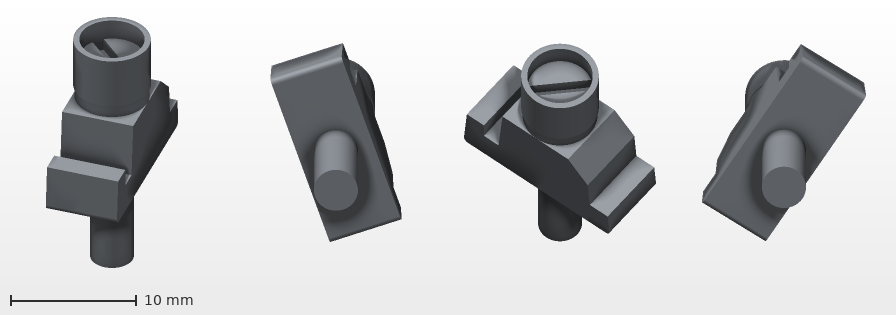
import cadquery as cq

total_height = 21.0
body_bottom = 8.57
body_top = 15.55
collar_bottom = 16.61

body_width = 6.0
base_length = 14.8
bottom_fillet = 0.42
shelf_height = 11.05
lip_height = 12.54
slope_height = 13.65

shelf_end_y = 7.18
shelf_wall_y = 5.38
slope_start_y = 5.17
slope_end_y = 3.17
top_end_y = -3.46
groove_wall_y = -3.86
lip_inner_y = -5.35
lip_outer_y = -7.08

pin_diameter = 3.5
neck_diameter = body_width
collar_diameter = 6.2
recess_diameter = 5.2
recess_depth = 1.75
slot_width = 0.99
slot_depth = 1.05
slot_angle = -45


def make_body():
    """Extrude the stepped Y-Z profile across the body width and round its lower edges."""
    half_length = base_length / 2
    profile = [
        (half_length, body_bottom),
        (shelf_end_y, shelf_height),
        (shelf_wall_y, shelf_height),
        (slope_start_y, slope_height),
        (slope_end_y, body_top),
        (top_end_y, body_top),
        (groove_wall_y, shelf_height),
        (lip_inner_y, shelf_height),
        (lip_inner_y, lip_height),
        (lip_outer_y, lip_height),
        (-half_length, body_bottom),
    ]
    body = cq.Workplane("YZ").polyline(profile).close().extrude(body_width / 2, both=True)
    return body.faces("<Z").edges("|X").fillet(bottom_fillet)


def cylinder(diameter, bottom, top):
    """Upright cylinder on the Z axis between two heights."""
    return cq.Workplane("XY").workplane(offset=bottom).circle(diameter / 2).extrude(top - bottom)


def make_slot():
    """Screwdriver slot across the whole recess floor, clipped to the recess wall."""
    floor = total_height - recess_depth
    bar = (
        cq.Workplane("XY")
        .box(recess_diameter, slot_width, slot_depth, centered=(True, True, False))
        .rotate((0, 0, 0), (0, 0, 1), slot_angle)
        .translate((0, 0, floor - slot_depth))
    )
    return bar.intersect(cylinder(recess_diameter, floor - slot_depth, floor))


pin = cylinder(pin_diameter, 0, body_bottom)
neck = cylinder(neck_diameter, body_top, collar_bottom)
collar = cylinder(collar_diameter, collar_bottom, total_height)
recess = cylinder(recess_diameter, total_height - recess_depth, total_height)

result = make_body().union(pin).union(neck).union(collar).cut(recess).cut(make_slot())